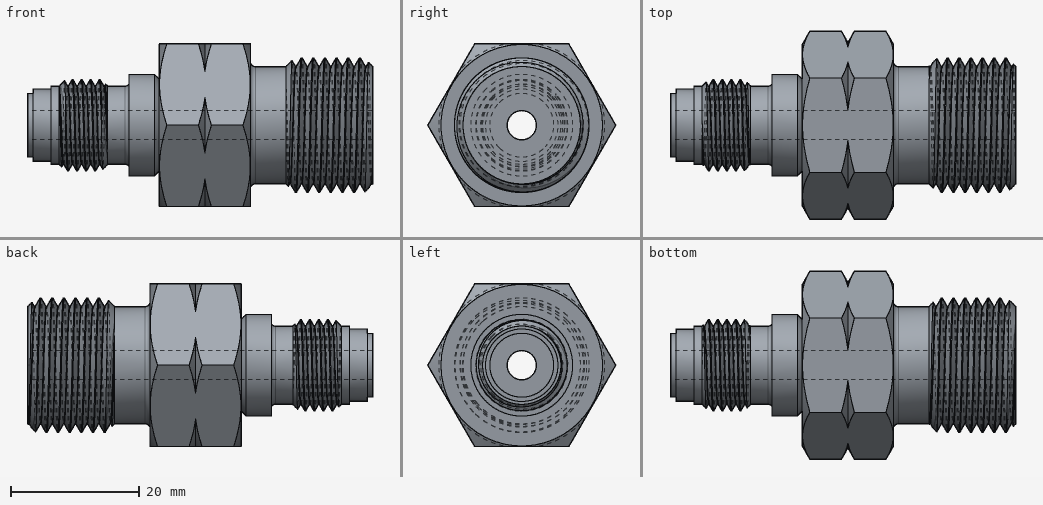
import cadquery as cq
import math

total_length = 53.8
hex_start = 20.5
hex_end = 34.75
bore_radius = 4.5 / 2

tip_radius = 9.95 / 2
tip_end = 0.85
step_radius = 11.3 / 2
step_end = 3.6
stem_core_radius = 12.2 / 2
stem_thread_start = 4.9
stem_thread_end = 12.5
stem_crest_radius = 14.2 / 2
stem_pitch = 7.05 / 5
stem_crest_at = 6.3
relief_end_radius = 12.8 / 2
relief_fillet_length = 0.6
collar_radius = 15.9 / 2
collar_start = 15.75
collar_chamfer = 0.75

across_flats = 25.4
across_corners = across_flats / math.cos(math.radians(30))
corner_radius = across_corners / 2
end_face_radius = 12.6
groove_root_radius = 12.9
corner_slope = math.tan(math.radians(30))

neck_radius = 18.3 / 2
neck_root_radius = 9.65
neck_fillet_length = 0.75
outlet_thread_start = 40.25
outlet_crest_radius = 21.0 / 2
outlet_pitch = 12.7 / 7
outlet_crest_at = 41.8

flank_half_angle = math.radians(30)
crest_flat = 0.15
root_overlap = 0.15


def ring_cylinder(start, end, radius):
    """Solid cylinder on the X axis."""
    return cq.Workplane("YZ", origin=(start, 0, 0)).circle(radius).extrude(end - start)


def revolve_outline(outline):
    """Revolve a closed XY outline about the X axis."""
    return outline.close().revolve(360, (0, 0, 0), (1, 0, 0))


def fillet_arc_middle(run, rise):
    """Axial and radial offsets, from the tangent end, of the middle of a fillet arc."""
    radius = (run**2 + rise**2) / (2 * rise)
    half_angle = math.asin(run / radius) / 2
    return radius * math.sin(half_angle), radius * (1 - math.cos(half_angle))


def thread_ridge(core, crest, pitch, start, end, crest_at, left_hand):
    """Helical ridge with 45 degree run-outs at both ends, overlapping its core."""
    root = core - root_overlap
    turns_before = math.ceil((crest_at - start) / pitch) + 1
    turns_after = math.ceil((end - crest_at) / pitch) + 1
    turns = turns_before + turns_after
    half_crest = crest_flat / 2
    half_root = half_crest + (crest - root) * math.tan(flank_half_angle)
    helix = cq.Wire.makeHelix(pitch, pitch * turns, root, lefthand=left_hand)
    ridge = (
        cq.Workplane("XZ")
        .polyline([(root, -half_root), (crest, -half_crest), (crest, half_crest), (root, half_root)])
        .close()
        .sweep(cq.Workplane(helix), isFrenet=True)
        .rotate((0, 0, 0), (0, 1, 0), 90)
        .translate((crest_at - pitch * turns_before, 0, 0))
    )
    half_length = (end - start) / 2
    envelope = revolve_outline(
        cq.Workplane("XY")
        .moveTo(start, 0)
        .lineTo(start, core)
        .lineTo(start + half_length, core + half_length)
        .lineTo(end, core)
        .lineTo(end, 0)
    )
    return ridge.intersect(envelope)


def make_stem():
    """Tip, threaded shank and collar, seated against the hexagon."""
    rise = relief_end_radius - stem_core_radius
    arc_run, arc_rise = fillet_arc_middle(relief_fillet_length, rise)
    fillet_start = collar_start - relief_fillet_length
    blank = revolve_outline(
        cq.Workplane("XY")
        .moveTo(0, 0)
        .lineTo(0, tip_radius)
        .lineTo(tip_end, tip_radius)
        .lineTo(tip_end, step_radius)
        .lineTo(step_end, step_radius)
        .lineTo(step_end, stem_core_radius)
        .lineTo(fillet_start, stem_core_radius)
        .threePointArc(
            (fillet_start + arc_run, stem_core_radius + arc_rise),
            (collar_start, relief_end_radius),
        )
        .lineTo(collar_start, collar_radius)
        .lineTo(hex_start - collar_chamfer, collar_radius)
        .lineTo(hex_start, collar_radius - collar_chamfer)
        .lineTo(hex_start, 0)
    )
    ridge = thread_ridge(
        stem_core_radius, stem_crest_radius, stem_pitch,
        stem_thread_start, stem_thread_end, stem_crest_at, left_hand=False,
    )
    return blank.union(ridge).cut(ring_cylinder(0, hex_start, bore_radius))


def make_hexagon():
    """Hexagon whose corners are turned to cones at the ends and at the middle groove."""
    hexagon = (
        cq.Workplane("YZ", origin=(hex_start, 0, 0))
        .polygon(6, across_corners)
        .extrude(hex_end - hex_start)
    )
    middle = (hex_start + hex_end) / 2
    chamfer_run = (corner_radius - end_face_radius) * corner_slope
    groove_run = (corner_radius - groove_root_radius) * corner_slope
    turned_profile = revolve_outline(
        cq.Workplane("XY")
        .moveTo(hex_start, 0)
        .lineTo(hex_start, end_face_radius)
        .lineTo(hex_start + chamfer_run, corner_radius)
        .lineTo(middle - groove_run, corner_radius)
        .lineTo(middle, groove_root_radius)
        .lineTo(middle + groove_run, corner_radius)
        .lineTo(hex_end - chamfer_run, corner_radius)
        .lineTo(hex_end, end_face_radius)
        .lineTo(hex_end, 0)
    )
    return hexagon.intersect(turned_profile)


def make_outlet_body():
    """Hexagon with the threaded outlet neck."""
    arc_run, arc_rise = fillet_arc_middle(neck_fillet_length, neck_root_radius - neck_radius)
    fillet_end = hex_end + neck_fillet_length
    neck = revolve_outline(
        cq.Workplane("XY")
        .moveTo(hex_end, 0)
        .lineTo(hex_end, neck_root_radius)
        .threePointArc(
            (fillet_end - arc_run, neck_radius + arc_rise),
            (fillet_end, neck_radius),
        )
        .lineTo(total_length, neck_radius)
        .lineTo(total_length, 0)
    )
    ridge = thread_ridge(
        neck_radius, outlet_crest_radius, outlet_pitch,
        outlet_thread_start, total_length, outlet_crest_at, left_hand=True,
    )
    bore = ring_cylinder(hex_start, total_length, bore_radius)
    return make_hexagon().union(neck).union(ridge).cut(bore)


stem = make_stem()
outlet_body = make_outlet_body()
result = cq.Compound.makeCompound([stem.solids().val(), outlet_body.solids().val()])